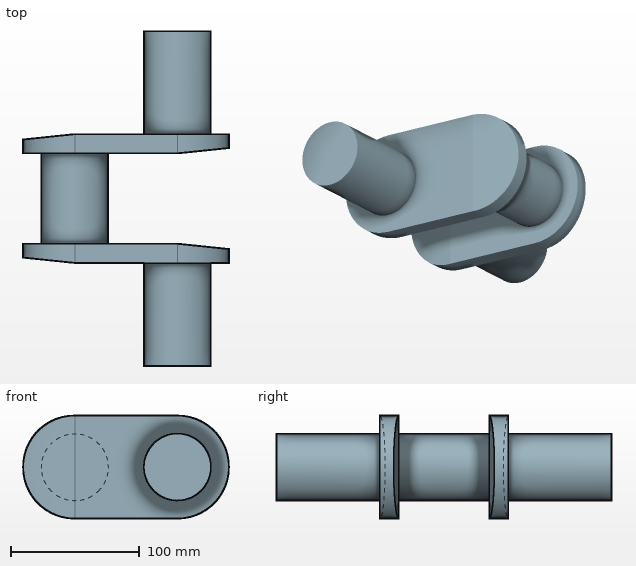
import cadquery as cq

total_length = 260.0
crank_length = 160.0
web_height = 80.0
web_thickness = 15.0
web_gap = 70.0
pin_diameter = 52.0
taper_depth = 4.2

end_radius = web_height / 2
axis_offset = crank_length / 2 - end_radius
inner_face = web_gap / 2
outer_face = inner_face + web_thickness
half_length = total_length / 2


def round_bar(x, y_start, y_end):
    """Cylinder parallel to Y between two Y positions."""
    bar = cq.Workplane("XZ", origin=(x, y_start, 0)).circle(pin_diameter / 2)
    return bar.extrude(y_start - y_end)


def web():
    """Web on the +Y side: rounded ends, tapered outside at -X and inside at +X."""
    blank = (
        cq.Workplane("XZ", origin=(0, inner_face, 0))
        .slot2D(crank_length, web_height)
        .extrude(-web_thickness)
    )
    tapered_profile = (
        cq.Workplane("XY", origin=(0, 0, -end_radius))
        .moveTo(-crank_length / 2, inner_face)
        .lineTo(axis_offset, inner_face)
        .lineTo(crank_length / 2, inner_face + taper_depth)
        .lineTo(crank_length / 2, outer_face)
        .lineTo(-axis_offset, outer_face)
        .lineTo(-crank_length / 2, outer_face - taper_depth)
        .close()
        .extrude(web_height)
    )
    return blank.intersect(tapered_profile)


result = round_bar(-axis_offset, -inner_face, inner_face)

half_crank = web().union(round_bar(axis_offset, outer_face, half_length))
result = result.union(half_crank).union(half_crank.mirror("XZ"))